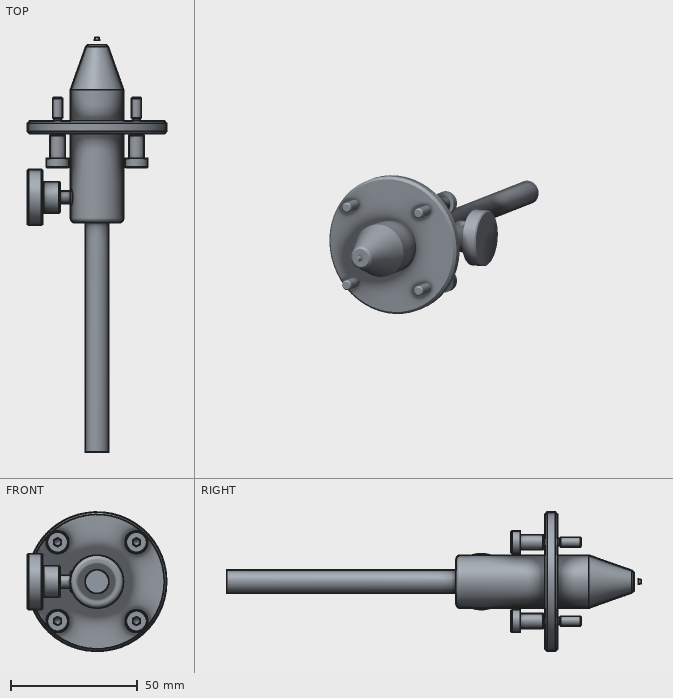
import cadquery as cq
import math


SLEEVE_DIA = 21.0
SLEEVE_REAR_Y = 90.4
SLEEVE_REAR_FILLET = 1.8
NOSE_BASE_Y = 142.7
NOSE_END_DIA = 8.8
NOSE_END_CHAMFER = 0.8
NOSE_END_Y = 160.5
FLANGE_DIA = 55.0
FLANGE_REAR_Y = 125.4
FLANGE_THICKNESS = 5.0
FLANGE_CHAMFER = 1.0
FLANGE_FRONT_Y = FLANGE_REAR_Y + FLANGE_THICKNESS
ROD_DIA = 9.3

KNOB_Y = 100.4
KNOB_DIA = 22.0
KNOB_THICKNESS = 6.0
KNOB_CHAMFER = 0.5
KNOB_COLLAR_DIA = 12.5
KNOB_COLLAR_LENGTH = 6.9
KNOB_STEM_DIA = 5.0
BOSS_DIA = 8.7
BOSS_CHAMFER = 0.8
BOSS_HEIGHT = 0.2
KNOB_OUTER_X = -FLANGE_DIA / 2
KNOB_INNER_X = KNOB_OUTER_X + KNOB_THICKNESS
KNOB_COLLAR_X = KNOB_INNER_X + KNOB_COLLAR_LENGTH

SCREW_OFFSET = 15.5
SCREW_HEAD_DIA = 9.0
SCREW_HEAD_CHAMFER = 0.5
SCREW_HEAD_Y = 112.0
SCREW_HEAD_HEIGHT = 3.8
SCREW_SHANK_DIA = 6.0
SCREW_SHANK_CHAMFER = 0.2
SCREW_SHANK_GAP = 0.7
SCREW_NECK_DIA = 3.0
SCREW_THREAD_DIA = 4.0
SCREW_THREAD_CHAMFER = 0.5
SCREW_THREAD_GAP = 0.8
SCREW_END_Y = 139.8
SCREW_SOCKET_FLATS = 3.0
SCREW_SOCKET_DEPTH = 2.0
SCREW_SOCKET_CONE_DEPTH = 0.8

TIP_END_DIA = 1.5
TIP_BASE_DIA = 2.1
TIP_LENGTH = 1.3
TIP_END_Y = 163.5


def turned_y(profile):
    """Turn a closed (radius, y) profile about the Y axis."""
    return cq.Workplane("XY").polyline(profile).close().revolve(360, (0, 0, 0), (0, 1, 0))


def disc_y(diameter, start_y, end_y):
    """Cylinder on the Y axis."""
    radius = diameter / 2
    return turned_y([(0, start_y), (radius, start_y), (radius, end_y), (0, end_y)])


def disc_x(diameter, start_x, end_x):
    """Cylinder along X, on the axis of the thumb knob."""
    plane = cq.Workplane("YZ", origin=(start_x, KNOB_Y, 0))
    return plane.circle(diameter / 2).extrude(end_x - start_x)


def make_sleeve():
    sleeve = disc_y(SLEEVE_DIA, SLEEVE_REAR_Y, NOSE_BASE_Y).faces("<Y").edges().fillet(SLEEVE_REAR_FILLET)
    nose = turned_y([
        (0, NOSE_BASE_Y),
        (SLEEVE_DIA / 2, NOSE_BASE_Y),
        (NOSE_END_DIA / 2, NOSE_END_Y - NOSE_END_CHAMFER),
        (NOSE_END_DIA / 2 - NOSE_END_CHAMFER, NOSE_END_Y),
        (0, NOSE_END_Y),
    ])
    return sleeve.union(nose)


def make_flange():
    return disc_y(FLANGE_DIA, FLANGE_REAR_Y, FLANGE_FRONT_Y).edges().chamfer(FLANGE_CHAMFER)


def make_boss():
    """Low bevelled boss where the knob stem enters the sleeve."""
    outer_x = -SLEEVE_DIA / 2 - BOSS_HEIGHT
    return disc_x(BOSS_DIA, outer_x, 0).faces("<X").edges().chamfer(BOSS_CHAMFER)


def make_knob():
    head = disc_x(KNOB_DIA, KNOB_OUTER_X, KNOB_INNER_X).edges().chamfer(KNOB_CHAMFER)
    collar = disc_x(KNOB_COLLAR_DIA, KNOB_INNER_X, KNOB_COLLAR_X).edges().chamfer(KNOB_CHAMFER)
    stem = disc_x(KNOB_STEM_DIA, KNOB_COLLAR_X, 0)
    return head.union(collar).union(stem)


def screw_places():
    return [(x, z) for x in (-SCREW_OFFSET, SCREW_OFFSET) for z in (-SCREW_OFFSET, SCREW_OFFSET)]


def make_holder():
    rod = disc_y(ROD_DIA, 0, SLEEVE_REAR_Y)
    holder = make_sleeve().union(make_flange()).union(rod)
    holder = holder.union(make_boss()).union(make_knob())
    hole = disc_y(SCREW_NECK_DIA, FLANGE_REAR_Y, FLANGE_FRONT_Y)
    for x, z in screw_places():
        holder = holder.cut(hole.translate((x, 0, z)))
    return holder


def make_socket():
    """Hexagon socket with two corners on the Z axis and a conical drilled bottom."""
    corner_radius = SCREW_SOCKET_FLATS / 2 / math.cos(math.pi / 6)
    corner_angles = [math.pi / 2 + side * math.pi / 3 for side in range(6)]
    corners = [(corner_radius * math.cos(angle), corner_radius * math.sin(angle)) for angle in corner_angles]
    socket = cq.Workplane("XZ", origin=(0, SCREW_HEAD_Y, 0)).polyline(corners).close().extrude(-SCREW_SOCKET_DEPTH)
    bottom_y = SCREW_HEAD_Y + SCREW_SOCKET_DEPTH
    cone = turned_y([(0, bottom_y), (SCREW_SOCKET_FLATS / 2, bottom_y), (0, bottom_y + SCREW_SOCKET_CONE_DEPTH)])
    return socket.union(cone)


def make_screw(x, z):
    shank_y = SCREW_HEAD_Y + SCREW_HEAD_HEIGHT
    neck_y = FLANGE_REAR_Y - SCREW_SHANK_GAP
    thread_y = FLANGE_FRONT_Y + SCREW_THREAD_GAP
    head = disc_y(SCREW_HEAD_DIA, SCREW_HEAD_Y, shank_y).faces("<Y").edges().chamfer(SCREW_HEAD_CHAMFER)
    shank = disc_y(SCREW_SHANK_DIA, shank_y, neck_y).faces(">Y").edges().chamfer(SCREW_SHANK_CHAMFER)
    neck = disc_y(SCREW_NECK_DIA, neck_y, thread_y)
    thread = disc_y(SCREW_THREAD_DIA, thread_y, SCREW_END_Y).edges().chamfer(SCREW_THREAD_CHAMFER)
    screw = head.union(shank).union(neck).union(thread).cut(make_socket())
    return screw.translate((x, 0, z))


def make_tip():
    base_y = TIP_END_Y - TIP_LENGTH
    return turned_y([(0, base_y), (TIP_BASE_DIA / 2, base_y), (TIP_END_DIA / 2, TIP_END_Y), (0, TIP_END_Y)])


holder = make_holder()
screws = [make_screw(x, z) for x, z in screw_places()]
tip = make_tip()

result = cq.Compound.makeCompound([holder.val(), *[screw.val() for screw in screws], tip.val()])